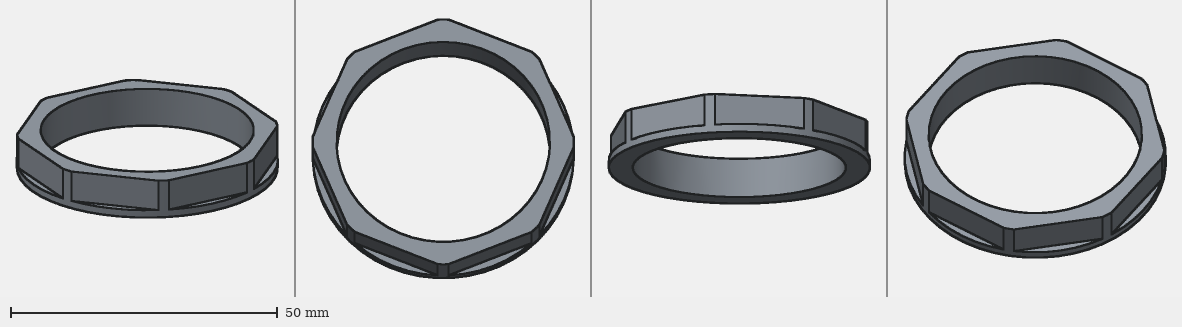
import cadquery as cq
import math

flange_diameter = 49.0
across_flats = 46.0
bore_diameter = 40.0
total_height = 7.5
flange_height = 1.5
flat_count = 8

blank = cq.Workplane("XY").circle(flange_diameter / 2).extrude(total_height)

half_flat_angle = math.pi / flat_count
across_corners = across_flats / math.cos(half_flat_angle)
flats_cutter = (
    cq.Workplane("XY")
    .workplane(offset=flange_height)
    .circle(flange_diameter)
    .extrude(total_height)
)
octagon = (
    cq.Workplane("XY")
    .polyline([
        (
            across_corners / 2 * math.cos((2 * i + 1) * half_flat_angle),
            across_corners / 2 * math.sin((2 * i + 1) * half_flat_angle),
        )
        for i in range(flat_count)
    ])
    .close()
    .extrude(2 * total_height)
)
flats_cutter = flats_cutter.cut(octagon)

bore = cq.Workplane("XY").circle(bore_diameter / 2).extrude(total_height)

result = blank.cut(flats_cutter).cut(bore)